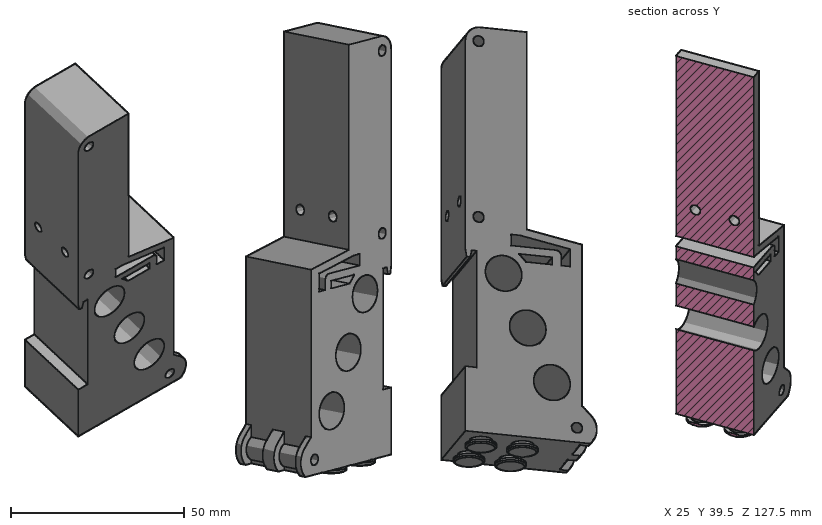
import cadquery as cq
import math

width = 25.0
height = 127.5

base_z = 2.7
upper_depth = 18.5
lower_depth = 35.1
shoulder_top_z = 66.7
shoulder_angle = math.radians(10)
shoulder_bottom_z = shoulder_top_z - (lower_depth - upper_depth) * math.tan(shoulder_angle)
top_radius = 4.5

foot_top_z = 22.6
recess_depth = 3.5
recess_top_z = 58.5
lip_thickness = 1.9
lip_tip_z = 56.4
lip_front_z = 58.5
lip_tip_front_y = 0.4
lip_tip_back_y = 1.4

pin_hole_diameter = 3.2
pin_y = 4.0
upper_pin_top_inset = 4.3
lower_pin_z = 69.0

lug_radius = 6.0
overall_depth = 39.5
hinge_y = overall_depth - lug_radius
hinge_z = 7.1
knuckle_radius = 3.7
side_lug_width = 2.0
middle_lug_width = 4.3

port_hole_diameter = 11.0
port_hole_count = 3
first_port_hole = (26.0, 20.3)
port_hole_step_y = -7.3
port_hole_step_z = 16.1

slot_floor_z = 56.6
latch_slot_back_y = 31.5
latch_slot_front_y = 13.8
latch_slot_leg = 2.7
latch_slot_step_z = 61.2
latch_slot_top_z = 64.7
latch_slot_slope_rise = 2.7
latch_bend_radius = 1.7
lower_slot_back_y = 26.1
lower_slot_top_y = 16.1
lower_slot_floor_y = 18.2
lower_slot_top_z = 58.9

screw_hole_diameter = 3.0
screw_hole_x = 6.2
screw_hole_z = 75.6

fitting_x = 6.1
fitting_ys = (6.5, 19.0)
neck_diameter = 6.5
flange_diameter = 9.0
bottom_diameter = 4.2
flange_top_z = 1.4
flange_edge_z = 0.8
bevel_width = 0.5
bevel_bottom_z = 0.4


def across(outline):
    """Extrude a closed Y-Z outline over the full width."""
    return outline.extrude(width / 2, both=True)


def side_plane():
    return cq.Workplane("YZ")


def make_body():
    outline = (
        side_plane()
        .moveTo(0, base_z)
        .lineTo(lower_depth, base_z)
        .lineTo(lower_depth, shoulder_bottom_z)
        .lineTo(upper_depth, shoulder_top_z)
        .lineTo(upper_depth, height)
        .lineTo(top_radius, height)
        .radiusArc((0, height - top_radius), -top_radius)
        .lineTo(0, lip_front_z)
        .lineTo(lip_tip_front_y, lip_tip_z)
        .lineTo(lip_tip_back_y, lip_tip_z)
        .lineTo(lip_thickness, recess_top_z)
        .lineTo(recess_depth, recess_top_z)
        .lineTo(recess_depth, foot_top_z)
        .lineTo(0, foot_top_z)
        .close()
    )
    return across(outline)


def make_lug(center_x, lug_width):
    """Rounded hinge lug whose 45 degree upper edge is tangent to its round end."""
    tangent_offset = lug_radius / math.sqrt(2)
    tangent_y = hinge_y + tangent_offset
    tangent_z = hinge_z + tangent_offset
    base_y = hinge_y + math.sqrt(lug_radius**2 - (hinge_z - base_z) ** 2)
    return (
        cq.Workplane("YZ", origin=(center_x - lug_width / 2, 0, 0))
        .moveTo(hinge_y, base_z)
        .lineTo(base_y, base_z)
        .threePointArc((overall_depth, hinge_z), (tangent_y, tangent_z))
        .lineTo(lower_depth, tangent_z + tangent_y - lower_depth)
        .lineTo(hinge_y, tangent_z + tangent_y - lower_depth)
        .close()
        .extrude(lug_width)
    )


def make_hinge():
    """Three lugs joined by a thinner round knuckle on the same axis."""
    side_x = (width - side_lug_width) / 2
    hinge = across(side_plane().center(hinge_y, hinge_z).circle(knuckle_radius))
    lugs = [
        (-side_x, side_lug_width),
        (0, middle_lug_width),
        (side_x, side_lug_width),
    ]
    for center_x, lug_width in lugs:
        hinge = hinge.union(make_lug(center_x, lug_width))
    return hinge


def make_fitting(x, y):
    """Turned push-in fitting: a neck, then a wider flange with a domed underside."""
    flange_radius = flange_diameter / 2
    return (
        cq.Workplane("XZ")
        .moveTo(0, 0)
        .lineTo(bottom_diameter / 2, 0)
        .lineTo(flange_radius - bevel_width, bevel_bottom_z)
        .lineTo(flange_radius, flange_edge_z)
        .lineTo(flange_radius, flange_top_z)
        .lineTo(neck_diameter / 2, flange_top_z)
        .lineTo(neck_diameter / 2, base_z)
        .lineTo(0, base_z)
        .close()
        .revolve(360, (0, 0), (0, 1))
        .translate((x, y, 0))
    )


def make_pin_holes():
    centers = [
        (pin_y, height - upper_pin_top_inset),
        (pin_y, lower_pin_z),
        (hinge_y, hinge_z),
    ]
    return across(side_plane().pushPoints(centers).circle(pin_hole_diameter / 2))


def make_port_holes():
    first_y, first_z = first_port_hole
    centers = [
        (first_y + i * port_hole_step_y, first_z + i * port_hole_step_z)
        for i in range(port_hole_count)
    ]
    return across(side_plane().pushPoints(centers).circle(port_hole_diameter / 2))


def make_latch_slot():
    """Bent slot below the shoulder; its sloped ceiling runs parallel to the shoulder."""
    leg_front_y = latch_slot_back_y - latch_slot_leg
    slope_end_y = latch_slot_back_y - latch_slot_slope_rise / math.tan(shoulder_angle)
    outline = (
        side_plane()
        .moveTo(latch_slot_back_y, slot_floor_z)
        .lineTo(latch_slot_back_y, latch_slot_top_z - latch_slot_slope_rise)
        .lineTo(slope_end_y, latch_slot_top_z)
        .lineTo(latch_slot_front_y, latch_slot_top_z)
        .lineTo(latch_slot_front_y, latch_slot_step_z)
        .lineTo(leg_front_y - latch_bend_radius, latch_slot_step_z)
        .radiusArc((leg_front_y, latch_slot_step_z - latch_bend_radius), latch_bend_radius)
        .lineTo(leg_front_y, slot_floor_z)
        .close()
    )
    return across(outline)


def make_lower_slot():
    outline = side_plane().polyline(
        [
            (lower_slot_back_y, slot_floor_z),
            (lower_slot_back_y, lower_slot_top_z),
            (lower_slot_top_y, lower_slot_top_z),
            (lower_slot_floor_y, slot_floor_z),
        ]
    )
    return across(outline.close())


def make_screw_holes():
    centers = [(-screw_hole_x, screw_hole_z), (screw_hole_x, screw_hole_z)]
    return (
        cq.Workplane("XZ")
        .pushPoints(centers)
        .circle(screw_hole_diameter / 2)
        .extrude(-upper_depth)
    )


result = make_body().union(make_hinge())
for fitting_y in fitting_ys:
    for side in (-1, 1):
        result = result.union(make_fitting(side * fitting_x, fitting_y))
for cutter in (
    make_pin_holes(),
    make_port_holes(),
    make_latch_slot(),
    make_lower_slot(),
    make_screw_holes(),
):
    result = result.cut(cutter)